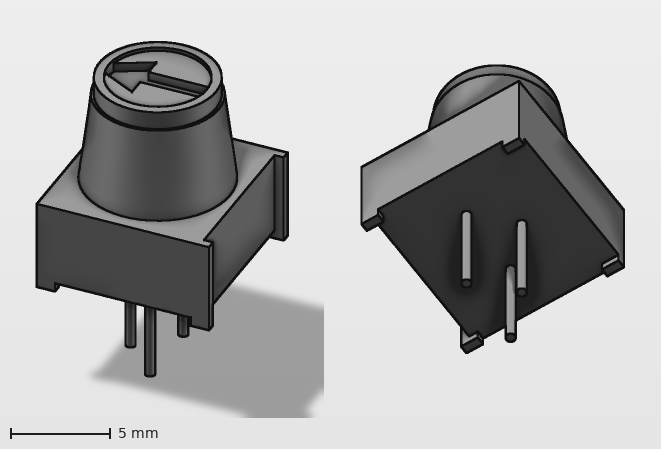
import cadquery as cq

total_height = 16.5
cap_height = 1.0
cone_height = 5.0
housing_height = 5.0
foot_height = 0.5
collar_bottom = total_height - cap_height
housing_top = collar_bottom - cone_height
housing_bottom = housing_top - housing_height
underside = housing_bottom + foot_height

housing_side = 9.5
half_side = housing_side / 2
foot_length = 1.0
foot_width = 0.5
ear_length = 0.5

knob_x = -ear_length / 2
cone_base_radius = 4.0
cone_top_radius = 3.37
cap_radius = 3.22
dial_radius = 2.7
dial_depth = 0.2

arrow_depth = 0.5
arrow_shaft_width = 1.0
arrow_head_width = 2.97
arrow_shoulder_x = -0.75
arrow_tip_x = -3.61

pin_diameter = 0.51
pin_pitch = 2.0
pin_row_x = -knob_x
pin_positions = [
    (pin_row_x, -pin_pitch),
    (pin_row_x - pin_pitch, 0),
    (pin_row_x, pin_pitch),
]


def make_block():
    """Square block with a foot under each corner and two ears on the +X side."""
    block = (
        cq.Workplane("XY", origin=(0, 0, underside))
        .rect(housing_side, housing_side)
        .extrude(housing_top - underside)
    )
    feet = (
        cq.Workplane("XY", origin=(0, 0, housing_bottom))
        .rect(housing_side - foot_length, housing_side - foot_width, forConstruction=True)
        .vertices()
        .rect(foot_length, foot_width)
        .extrude(foot_height)
    )
    ear_gap = (
        cq.Workplane("XY", origin=(half_side - ear_length / 2, 0, housing_bottom))
        .rect(ear_length, housing_side - 2 * foot_width)
        .extrude(housing_height)
    )
    return block.union(feet).cut(ear_gap)


def make_knob():
    """Tapered knob with a narrower straight cap, revolved about its own axis."""
    return (
        cq.Workplane("XZ", origin=(knob_x, 0, 0))
        .moveTo(0, housing_top)
        .lineTo(cone_base_radius, housing_top)
        .lineTo(cone_top_radius, collar_bottom)
        .lineTo(cap_radius, collar_bottom)
        .lineTo(cap_radius, total_height)
        .lineTo(0, total_height)
        .close()
        .revolve(360, (0, 0), (0, 1))
    )


def dial_disc(depth):
    """Disc of the dial's radius, reaching down from the knob top."""
    return (
        cq.Workplane("XY", origin=(knob_x, 0, total_height - depth))
        .circle(dial_radius)
        .extrude(depth)
    )


def make_arrow_slot():
    """Arrow-shaped cutter that ends on the dial circle."""
    slot_depth = dial_depth + arrow_depth
    half_shaft = arrow_shaft_width / 2
    half_head = arrow_head_width / 2
    arrow = (
        cq.Workplane("XY", origin=(knob_x, 0, total_height - slot_depth))
        .polyline([
            (arrow_tip_x, 0),
            (arrow_shoulder_x, half_head),
            (arrow_shoulder_x, half_shaft),
            (dial_radius, half_shaft),
            (dial_radius, -half_shaft),
            (arrow_shoulder_x, -half_shaft),
            (arrow_shoulder_x, -half_head),
        ])
        .close()
        .extrude(slot_depth)
    )
    return arrow.intersect(dial_disc(slot_depth))


def make_housing():
    """Housing and knob as a single body, with the dial recess and arrow slot."""
    return make_block().union(make_knob()).cut(dial_disc(dial_depth)).cut(make_arrow_slot())


def make_pin(x, y):
    """Round pin that ends against the underside of the housing."""
    return cq.Workplane("XY", origin=(x, y, 0)).circle(pin_diameter / 2).extrude(underside)


housing = make_housing()
pins = [make_pin(x, y) for x, y in pin_positions]

result = cq.Compound.makeCompound([housing.val(), *[pin.val() for pin in pins]])